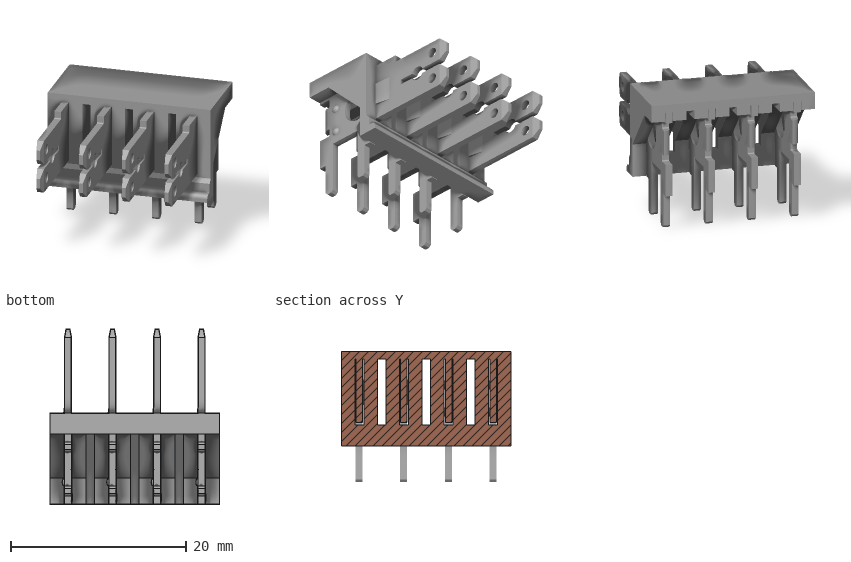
import cadquery as cq


housing_width = 19.35
wall_back = 8.0
wall_front = 9.0
housing_bottom = -10.88
rear_edge_height = 2.0
brace_start = 3.0
brace_bottom = -rear_edge_height - (wall_back - brace_start)
foot_front = 9.42
foot_top = -8.92
lip_front = 10.42
lip_top = -10.0
lip_radius = 0.5

slot_pitch = 2.55
slot_count = 7
slot_width = 0.95
slot_top = -0.95
slot_bottom = -8.45

terminal_pitch = 2 * slot_pitch
terminal_count = 4
thickness = 0.8
terminal_front = 20.0
plate_bottom = -10.95

shoulder_depth = 12.05
shoulder_radius = 0.15
tab_middle = -5.0
tab_height = 6.32
tab_top = tab_middle + tab_height / 2
tab_bottom = tab_middle - tab_height / 2
split_start = 12.85
split_height = 0.62
split_hole_depth = 15.5
split_hole_diameter = 1.72
tip_length = 0.95
tip_bevel = 0.85
tip_thickness = 0.45
prong_hole_depth = 17.88
prong_hole_diameter = 1.2
prong_hole_spacing = 3.48

pin_width = 1.15
rear_pin_depth = 0.95
front_pin_depth = 5.98
pin_gap_top = -8.48
pin_bottom = -15.0
pin_bevel = 0.28

relief_depth = 6.0
relief_height = -4.98
relief_diameter = 4.0

notch_depth = 1.52
notch_radius = 0.15
upper_notch_top = -2.25
lower_notch_bottom = -7.2
flap_top = -3.28
flap_bottom = -6.18
bend_start = 1.28
bend_radius = 0.9

dimple_depth = 2.52
dimple_heights = (-3.92, -6.98)
dimple_diameter = 1.0
dimple_rise = 0.25

barb_back = 9.1
barb_front = 11.1
barb_rise = 0.28
barb_middle = -4.98
barb_back_height = 2.72
barb_front_height = 3.0


def side_plane(x=0.0):
    """Workplane at X = x with depth as its first axis and Z as its second."""
    return cq.Workplane(cq.Plane(origin=(x, 0, 0), xDir=(0, -1, 0), normal=(-1, 0, 0)))


def slab(depth_from, depth_to, z_from, z_to, width=thickness):
    """Rectangular block centred on X = 0."""
    corners = [(depth_from, z_from), (depth_to, z_from), (depth_to, z_to), (depth_from, z_to)]
    return side_plane().polyline(corners).close().extrude(width / 2, both=True)


def cross_hole(depth, z, diameter):
    """Round cutter running along X through a terminal."""
    return side_plane().center(depth, z).circle(diameter / 2).extrude(thickness, both=True)


def centred_positions(count, pitch):
    return [(i - (count - 1) / 2) * pitch for i in range(count)]


def make_housing():
    body = (
        side_plane()
        .moveTo(0, 0)
        .lineTo(wall_front, 0)
        .lineTo(wall_front, slot_bottom)
        .lineTo(foot_front, foot_top)
        .lineTo(foot_front, lip_top)
        .lineTo(lip_front - lip_radius, lip_top)
        .radiusArc((lip_front, lip_top - lip_radius), lip_radius)
        .lineTo(lip_front, housing_bottom)
        .lineTo(wall_back, housing_bottom)
        .lineTo(wall_back, brace_bottom)
        .lineTo(brace_start, -rear_edge_height)
        .lineTo(0, -rear_edge_height)
        .close()
        .extrude(housing_width / 2, both=True)
    )
    slot = slab(0, wall_front, slot_bottom, slot_top, slot_width)
    for x in centred_positions(slot_count, slot_pitch):
        body = body.cut(slot.translate((x, 0, 0)))
    return body


def make_pin(back):
    front = back + pin_width
    outline = [
        (back, plate_bottom),
        (back, pin_bottom + pin_bevel),
        (back + pin_bevel, pin_bottom),
        (front - pin_bevel, pin_bottom),
        (front, pin_bottom + pin_bevel),
        (front, plate_bottom),
    ]
    return side_plane().polyline(outline).close().extrude(thickness / 2, both=True)


def make_notch(z_bottom, z_top):
    """Cutter for a rear notch with rounded inner corners."""
    notch = slab(0, notch_depth, z_bottom, z_top, 2 * thickness)
    return notch.edges("|X and <Y").fillet(notch_radius)


def make_flap():
    """Quarter bend from the plate toward +X, with the -X face on its outside."""
    inner_radius = bend_radius - thickness
    bend_x = bend_radius - thickness / 2
    bend = (
        cq.Workplane("XY", origin=(0, 0, flap_bottom))
        .moveTo(-thickness / 2, -bend_start)
        .radiusArc((bend_x, bend_radius - bend_start), bend_radius)
        .lineTo(bend_x, inner_radius - bend_start)
        .radiusArc((thickness / 2, -bend_start), -inner_radius)
        .close()
        .extrude(flap_top - flap_bottom)
    )
    root = slab(bend_start, notch_depth, flap_bottom, flap_top)
    return bend.union(root)


def make_plate():
    """Flat plate held in the housing, with its notches, relief hole and pins."""
    plate = slab(0, wall_back, plate_bottom, slot_top)
    plate = plate.cut(make_notch(flap_top, upper_notch_top))
    plate = plate.cut(make_notch(lower_notch_bottom, flap_bottom))
    plate = plate.cut(slab(0, notch_depth, flap_bottom, flap_top))
    plate = plate.cut(slab(rear_pin_depth + pin_width, front_pin_depth, plate_bottom, pin_gap_top))
    plate = plate.cut(cross_hole(relief_depth, relief_height, relief_diameter))
    for back in (rear_pin_depth, front_pin_depth):
        plate = plate.union(make_pin(back))
    return plate.union(make_flap())


def make_tab():
    """Front double tab with a raised shoulder, a split and two bevelled prongs."""
    tip_start = terminal_front - tip_length
    prong_height = (tab_height - split_height) / 2
    tab = (
        side_plane()
        .moveTo(wall_back, slot_top)
        .lineTo(shoulder_depth, slot_top)
        .lineTo(shoulder_depth, tab_top + shoulder_radius)
        .radiusArc((shoulder_depth + shoulder_radius, tab_top), -shoulder_radius)
        .lineTo(tip_start, tab_top)
        .lineTo(tip_start, tab_bottom)
        .lineTo(wall_back, tab_bottom)
        .close()
        .extrude(thickness / 2, both=True)
    )
    split_top = tab_middle + split_height / 2
    tab = tab.cut(slab(split_start, tip_start, split_top - split_height, split_top))
    tab = tab.cut(cross_hole(split_hole_depth, tab_middle, split_hole_diameter))

    for side in (-1, 1):
        hole_z = tab_middle + side * prong_hole_spacing / 2
        tab = tab.cut(cross_hole(prong_hole_depth, hole_z, prong_hole_diameter))
        prong_middle = tab_middle + side * (split_height + prong_height) / 2
        tab = tab.union(make_tip(tip_start, prong_middle, prong_height))
    return tab


def make_tip(tip_start, z_middle, height):
    """Prong tip: corners bevelled in the plate's plane and thinned on both faces."""
    half_height = height / 2
    end_half_height = half_height - tip_bevel
    outline = [
        (tip_start, z_middle - half_height),
        (terminal_front, z_middle - end_half_height),
        (terminal_front, z_middle + end_half_height),
        (tip_start, z_middle + half_height),
    ]
    tip = side_plane().polyline(outline).close().extrude(thickness / 2, both=True)
    taper = [
        (-thickness / 2, -tip_start),
        (-tip_thickness / 2, -terminal_front),
        (tip_thickness / 2, -terminal_front),
        (thickness / 2, -tip_start),
    ]
    wedge = cq.Workplane("XY").polyline(taper).close().extrude(plate_bottom)
    return tip.intersect(wedge)


def make_dimple(z):
    """Spherical dome rising from the -X face of a terminal."""
    base_radius = dimple_diameter / 2
    sphere_radius = (base_radius**2 + dimple_rise**2) / (2 * dimple_rise)
    centre_x = -thickness / 2 - dimple_rise + sphere_radius
    sphere = cq.Workplane("XY").sphere(sphere_radius).translate((centre_x, -dimple_depth, z))
    cap_space = (
        side_plane()
        .center(dimple_depth, z)
        .circle(dimple_diameter)
        .extrude(thickness / 2 + dimple_rise)
    )
    return sphere.intersect(cap_space)


def make_barb():
    """Wedge on the -X face, highest at the housing and running out forward."""
    face_x = -thickness / 2
    outline = [
        (barb_back, barb_middle - barb_back_height / 2),
        (barb_front, barb_middle - barb_front_height / 2),
        (barb_front, barb_middle + barb_front_height / 2),
        (barb_back, barb_middle + barb_back_height / 2),
    ]
    block = side_plane(face_x).polyline(outline).close().extrude(barb_rise)
    ramp = [(face_x, -barb_back), (face_x - barb_rise, -barb_back), (face_x, -barb_front)]
    wedge = cq.Workplane("XY").polyline(ramp).close().extrude(plate_bottom)
    return block.intersect(wedge)


def make_terminal():
    terminal = make_plate().union(make_tab()).union(make_barb())
    for z in dimple_heights:
        terminal = terminal.union(make_dimple(z))
    return terminal


result = make_housing()
terminal = make_terminal()
for x in centred_positions(terminal_count, terminal_pitch):
    result = result.union(terminal.translate((x, 0, 0)))